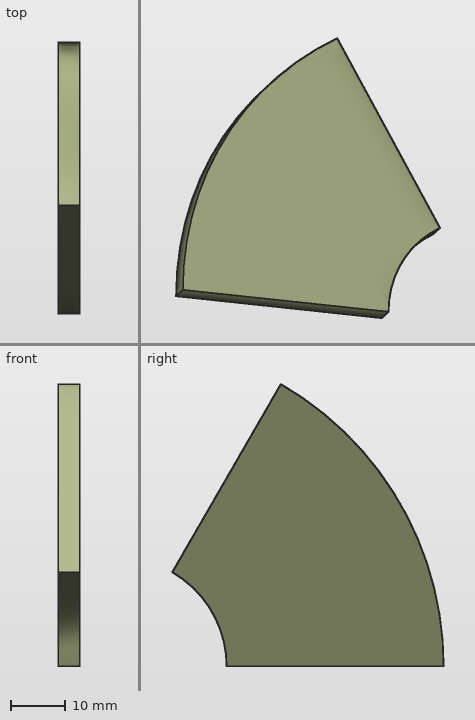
import cadquery as cq
import math

thickness = 4.0
inner_radius = 20.0
outer_radius = 60.0
sector_angle = 60.0


def polar_point(radius, angle):
    """Point in the YZ plane at an angle in degrees from +Y towards +Z."""
    radians = math.radians(angle)
    return (radius * math.cos(radians), radius * math.sin(radians))


def ring_sector():
    """Plate bounded by two concentric arcs and two radial edges."""
    middle_angle = sector_angle / 2
    outline = (
        cq.Workplane("YZ")
        .moveTo(*polar_point(inner_radius, 0))
        .lineTo(*polar_point(outer_radius, 0))
        .threePointArc(polar_point(outer_radius, middle_angle), polar_point(outer_radius, sector_angle))
        .lineTo(*polar_point(inner_radius, sector_angle))
        .threePointArc(polar_point(inner_radius, middle_angle), polar_point(inner_radius, 0))
        .close()
    )
    return outline.extrude(thickness / 2, both=True)


result = ring_sector()